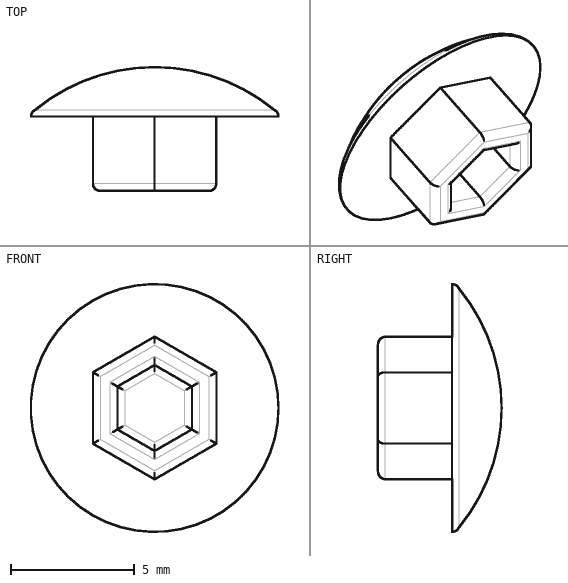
import cadquery as cq
import math

CAP_DIAMETER = 10.0
CAP_HEIGHT = 2.0
RIM_HEIGHT = 0.27
STEM_FLATS = 4.98
STEM_LENGTH = 3.0
SOCKET_FLATS = 3.0
SOCKET_DEPTH = 3.0
EDGE_RADIUS = 0.3

cap_radius = CAP_DIAMETER / 2
rim_inset = EDGE_RADIUS - math.sqrt(EDGE_RADIUS**2 - RIM_HEIGHT**2)
dome_edge_radius = cap_radius - rim_inset
dome_rise = CAP_HEIGHT - RIM_HEIGHT
dome_radius = (dome_edge_radius**2 + dome_rise**2) / (2 * dome_rise)


def make_cap():
    """Revolve the rounded rim and spherical dome about the Y axis."""
    half_angle = math.asin(dome_edge_radius / dome_radius) / 2
    dome_middle = (
        dome_radius * math.sin(half_angle),
        CAP_HEIGHT - dome_radius * (1 - math.cos(half_angle)),
    )
    return (
        cq.Workplane("XY")
        .lineTo(cap_radius, 0)
        .radiusArc((dome_edge_radius, RIM_HEIGHT), -EDGE_RADIUS)
        .threePointArc(dome_middle, (0, CAP_HEIGHT))
        .close()
        .revolve(360, (0, 0, 0), (0, 1, 0))
    )


def make_hex_prism(across_flats, length):
    """Extrude a hexagon with corners on the Z axis from the tip of the stem towards +Y."""
    corner_diameter = across_flats / math.cos(math.pi / 6)
    return (
        cq.Workplane("XZ", origin=(0, -STEM_LENGTH, 0))
        .transformed(rotate=(0, 0, 90))
        .polygon(6, corner_diameter)
        .extrude(-length)
    )


stem = make_hex_prism(STEM_FLATS, STEM_LENGTH)
socket = make_hex_prism(SOCKET_FLATS, SOCKET_DEPTH).faces(">Y").edges().fillet(EDGE_RADIUS)

result = make_cap().union(stem).cut(socket)
result = result.faces("<Y").edges().fillet(EDGE_RADIUS)